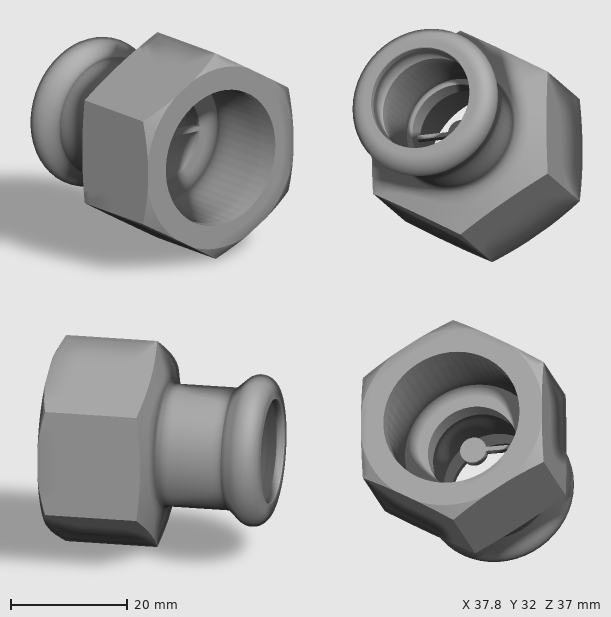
import cadquery as cq
import math

length = 37.8
across_flats = 32.0
across_corners = across_flats / math.cos(math.radians(30))

tube_radius = 21.2 / 2
bead_radius = 13.15
bead_round = 2.75
bead_slope = math.radians(41)
tube_start = 6.7
mouth_radius = 18.2 / 2
mouth_chamfer_length = 0.15
socket_radius = 18.0 / 2
socket_end = 18.15

lip_width = 1.35
groove_radius = 11.23
groove_end = 6.12
groove_crest_end = groove_end - (groove_radius - socket_radius) / math.tan(bead_slope)

hex_corner_start = 20.35
back_angle = math.radians(15)
neck_fillet = 0.87
end_chamfer_angle = math.radians(30)
end_face_radius = 16.18

bore_radius = 16.0 / 2
wide_bore_radius = 24.1 / 2
wide_bore_start = 21.92

disc_radius = 4.6 / 2
spoke_width = 0.75
disc_thickness = 1.5


def revolve_about_x(profile):
    return profile.close().revolve(360, (0, 0, 0), (1, 0, 0))


def make_tube():
    """Outer shape of the beaded tube, reaching into the hexagon."""
    center_r = bead_radius - bead_round
    arc_mid_angle = (bead_slope - math.pi / 2) / 2

    def bead_point(angle):
        return (bead_round * (1 + math.sin(angle)), center_r + bead_round * math.cos(angle))

    profile = (
        cq.Workplane("XY")
        .lineTo(0, center_r)
        .threePointArc(bead_point(arc_mid_angle), bead_point(bead_slope))
        .lineTo(tube_start, tube_radius)
        .lineTo(hex_corner_start, tube_radius)
        .lineTo(hex_corner_start, 0)
    )
    return revolve_about_x(profile)


def make_hexagon():
    """Hexagon with corners along Z, trimmed by a cone at each end and filleted into the tube."""
    corner_radius = across_corners / 2
    cone_foot = hex_corner_start - (corner_radius - tube_radius) * math.tan(back_angle)
    turn = math.pi / 2 - back_angle
    tangent_length = neck_fillet * math.tan(turn / 2)
    fillet_start = cone_foot - tangent_length
    fillet_end = (
        cone_foot + tangent_length * math.sin(back_angle),
        tube_radius + tangent_length * math.cos(back_angle),
    )
    fillet_mid = (
        fillet_start + neck_fillet * math.sin(turn / 2),
        tube_radius + neck_fillet * (1 - math.cos(turn / 2)),
    )
    chamfer_length = (corner_radius - end_face_radius) * math.tan(end_chamfer_angle)
    envelope = revolve_about_x(
        cq.Workplane("XY")
        .moveTo(fillet_start, 0)
        .lineTo(fillet_start, tube_radius)
        .threePointArc(fillet_mid, fillet_end)
        .lineTo(hex_corner_start, corner_radius)
        .lineTo(length - chamfer_length, corner_radius)
        .lineTo(length, end_face_radius)
        .lineTo(length, 0)
    )
    prism = (
        cq.Workplane("YZ")
        .polygon(6, across_corners)
        .extrude(length)
        .rotate((0, 0, 0), (1, 0, 0), 90)
    )
    return prism.intersect(envelope)


def make_cavity():
    """Mouth, seal groove, socket, narrow bore and wide bore as one void."""
    return revolve_about_x(
        cq.Workplane("XY")
        .lineTo(0, mouth_radius)
        .lineTo(mouth_chamfer_length, socket_radius)
        .lineTo(lip_width, socket_radius)
        .lineTo(lip_width, groove_radius)
        .lineTo(groove_crest_end, groove_radius)
        .lineTo(groove_end, socket_radius)
        .lineTo(socket_end, socket_radius)
        .lineTo(socket_end, bore_radius)
        .lineTo(wide_bore_start, bore_radius)
        .lineTo(wide_bore_start, wide_bore_radius)
        .lineTo(length, wide_bore_radius)
        .lineTo(length, 0)
    )


def make_disc_and_spoke():
    """Disc on the axis with one spoke toward +Y, flush with the end of the narrow bore."""
    spoke_reach = (bore_radius + tube_radius) / 2
    plane = cq.Workplane("YZ").workplane(offset=wide_bore_start - disc_thickness)
    disc = plane.circle(disc_radius).extrude(disc_thickness)
    spoke = plane.center(spoke_reach / 2, 0).rect(spoke_reach, spoke_width).extrude(disc_thickness)
    return disc.union(spoke)


result = make_tube().union(make_hexagon()).cut(make_cavity()).union(make_disc_and_spoke())